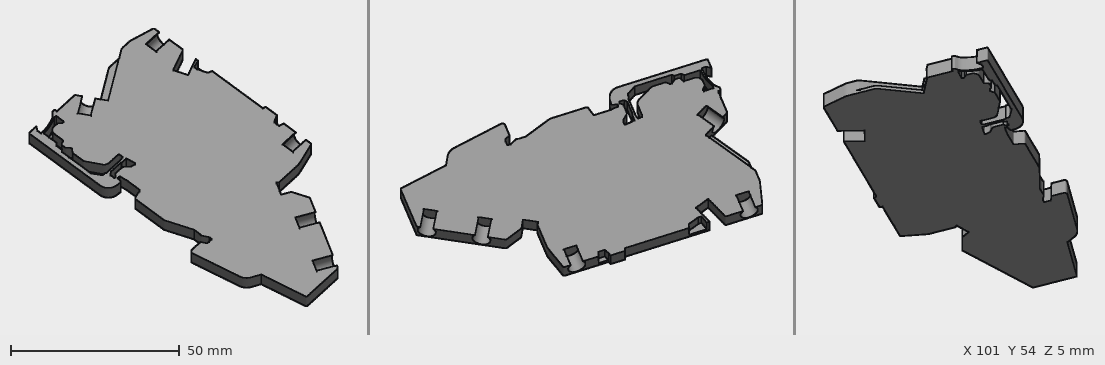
import cadquery as cq
import math

LENGTH = 101.0
HEIGHT = 54.0
THICKNESS = 5.0
CUT_MARGIN = 1.0
SMALL_RADIUS = 0.3

BLOCK_WIDTH = 67.2
TAB_HEIGHT = 0.9
TAB_LEFT = 45.7
TAB_RIGHT = 50.7
TAB_SIDE_LEAN = 0.2
SHOULDER_Y = 45.0
SHOULDER_ANGLE = 15.0
SHOULDER_RADIUS = 3.5
DECK_RADIUS = 0.5
DECK_Y = HEIGHT - TAB_HEIGHT
SHOULDER_INSET = (DECK_Y - SHOULDER_Y) * math.tan(math.radians(SHOULDER_ANGLE))

NOTCH_X = 13.8
NOTCH_WIDTH = 4.7
NOTCH_DEPTH = 8.0
NOTCH_ANGLE = 20.0

ENTRY_ANGLE = 30.0
STEP_X = 0.9
STEP_Y = 19.5
ENTRY_X = 7.2
ENTRY_RADIUS = 2.3
LEDGE_WIDTH = 2.8
WALL_RADIUS = 1.8
LEDGE_THICKNESS = 1.2
ENTRY_Y = STEP_Y + (ENTRY_X - STEP_X) * math.tan(math.radians(ENTRY_ANGLE))
LEDGE_TOP_Y = ENTRY_Y + ENTRY_X / math.tan(math.radians(ENTRY_ANGLE))

ROOF_ANGLE = 30.0
ROOF_X = 77.7
ROOF_Y = 38.3
ROOF_END_Y = ROOF_Y - (LENGTH - ROOF_X) * math.tan(math.radians(ROOF_ANGLE))

BELLY_Y = 3.3
RAIL_SEAT_Y = 6.7
FOOT_FLOOR_Y = 1.5
FOOT_STEP_Y = 2.1
FOOT_TOP_Y = 2.9
ARM_THICKNESS = 0.6
ARM_FOOT_X = 2.7
ARM_BEND_Y = 5.6
ARM_BEND_RADIUS = 13.1
STEM_LEFT = 26.8
STEM_THICKNESS = 0.7
STEM_RIGHT = STEM_LEFT + STEM_THICKNESS

SLOT_DIAMETER = 5.5
SLOT_FLOOR = 0.4
STRAIGHT_SLOT_DEPTH = 5.9
SLANTED_SLOT_DEPTH = 6.4
STRAIGHT_SLOT_INSET = 6.4
ENTRY_SLOT_X = 4.5
ROOF_SLOT_XS = (84.1, 98.4)

RECESS_FLOOR = LEDGE_THICKNESS


def direction(angle):
    """Unit vector in the plane of the plate, at an angle in degrees."""
    return cq.Vector(math.cos(math.radians(angle)), math.sin(math.radians(angle)))


def rounded_outline(corners):
    """Closed outline through corners (x, y) or (x, y, radius), with arcs at the rounded ones."""
    pieces = []
    for index, corner in enumerate(corners):
        point = cq.Vector(*corner[:2])
        if len(corner) == 2:
            pieces.append([point])
            continue
        following = corners[(index + 1) % len(corners)]
        back = (cq.Vector(*corners[index - 1][:2]) - point).normalized()
        ahead = (cq.Vector(*following[:2]) - point).normalized()
        half_angle = back.getAngle(ahead) / 2
        radius = corner[2]
        run = radius / math.tan(half_angle)
        to_middle = radius / math.sin(half_angle) - radius
        middle = point + (back + ahead).normalized() * to_middle
        pieces.append([point + back * run, middle, point + ahead * run])
    outline = cq.Workplane("XY").moveTo(*pieces[0][-1].toTuple()[:2])
    for piece in pieces[1:] + pieces[:1]:
        outline = outline.lineTo(*piece[0].toTuple()[:2])
        if len(piece) > 1:
            outline = outline.threePointArc(piece[1].toTuple()[:2], piece[2].toTuple()[:2])
    return outline.close()


def cutter(corners, floor=-CUT_MARGIN):
    """Prism that removes everything inside the corners above the floor height."""
    prism = rounded_outline(corners).extrude(THICKNESS + CUT_MARGIN - floor)
    return prism.translate((0, 0, floor))


def plate():
    """Full-thickness plate inside the outer contour, listed clockwise from the foot."""
    notch_down = direction(NOTCH_ANGLE - 90)
    notch_across = direction(NOTCH_ANGLE)
    notch_start = cq.Vector(NOTCH_X, DECK_Y)
    notch_low = notch_start + notch_down * NOTCH_DEPTH
    notch_high = notch_low + notch_across * NOTCH_WIDTH
    notch_end_x = NOTCH_X + NOTCH_WIDTH / math.cos(math.radians(NOTCH_ANGLE))
    clip = [
        (0, 0, SMALL_RADIUS),
        (0, 3.4),
        (1.3, 2.4),
        (ARM_FOOT_X, 2.4),
        (ARM_FOOT_X, ARM_BEND_Y, ARM_BEND_RADIUS),
        (1.3, 9.3, 3),
        (0, 10.5, SMALL_RADIUS),
        (0, 11.5, SMALL_RADIUS),
        (STEP_X, 11.5),
    ]
    block = [
        (STEP_X, STEP_Y, 0.4),
        (ENTRY_X, ENTRY_Y),
        (0, LEDGE_TOP_Y, ENTRY_RADIUS),
        (0, SHOULDER_Y, SHOULDER_RADIUS),
        (SHOULDER_INSET, DECK_Y, DECK_RADIUS),
        (NOTCH_X, DECK_Y, SMALL_RADIUS),
        (notch_low.x, notch_low.y),
        (notch_high.x, notch_high.y),
        (notch_end_x, DECK_Y),
        (TAB_LEFT, DECK_Y),
        (TAB_LEFT + TAB_SIDE_LEAN, HEIGHT),
        (TAB_RIGHT - TAB_SIDE_LEAN, HEIGHT),
        (TAB_RIGHT, DECK_Y),
        (BLOCK_WIDTH - SHOULDER_INSET, DECK_Y, DECK_RADIUS),
        (BLOCK_WIDTH, SHOULDER_Y, SHOULDER_RADIUS),
    ]
    right_arm = [
        (BLOCK_WIDTH, 36.4),
        (66.6, 35.8),
        (70.6, 33.4),
        (72.1, 36.2, 0.5),
        (ROOF_X, ROOF_Y, 0.5),
        (LENGTH, ROOF_END_Y, 0.6),
        (LENGTH, 10.8, SMALL_RADIUS),
        (85.5, 7.9),
        (83.1, 3.4, 4),
        (65.3, 0),
        (64.2, 0, 0.8),
        (64.2, 4.6),
        (66.1, 5.6, 0.2),
        (66.1, 7.7, 0.2),
        (65.0, 7.7),
        (62.8, 6.5, 0.8),
        (62.1, RAIL_SEAT_Y),
    ]
    lower_edge = [
        (59.9, RAIL_SEAT_Y),
        (51.0, BELLY_Y, 1),
        (39.2, BELLY_Y, 0.6),
        (38.4, RAIL_SEAT_Y, 0.2),
        (33.1, RAIL_SEAT_Y, 5),
        (30.5, 6.4),
        (30.5, 5.6),
        (32.2, 5.2, 0.2),
        (31.8, 0, 3.7),
    ]
    return rounded_outline(clip + block + right_arm + lower_edge).extrude(THICKNESS)


def rail_cavity():
    """Through opening between the body and the clip foot, from the spring arm to the stem."""
    arm_inside = ARM_FOOT_X + ARM_THICKNESS
    body_side = [
        (1.8, 10.1),
        (4.9, 10.1),
        (4.9, 9.4),
        (3.9, 8.4),
        (3.9, 4.8, 2),
        (9.4, 4.8),
        (10.0, BELLY_Y, 0.8),
        (11.7, BELLY_Y, 0.5),
        (13.1, 4.5, 0.5),
        (14.5, BELLY_Y),
        (18.9, BELLY_Y, 1),
        (24.9, 6.8, 2),
        (24.9, 12.2, 0.4),
    ]
    foot_side = [
        (26.5, 12.2),
        (STEM_LEFT, 11.2),
        (STEM_LEFT, 4.6),
        (26.5, 4.4),
        (26.5, BELLY_Y, SMALL_RADIUS),
        (23.5, FOOT_FLOOR_Y),
        (11.8, FOOT_FLOOR_Y),
        (11.3, FOOT_STEP_Y),
        (9.1, FOOT_STEP_Y),
        (8.5, FOOT_TOP_Y),
        (arm_inside, FOOT_TOP_Y),
        (arm_inside, ARM_BEND_Y, ARM_BEND_RADIUS),
        (1.8, 9.4),
    ]
    return cutter(body_side + foot_side)


def stem_cavity():
    """Through opening between the stem and the body, closed below by the hook of the foot."""
    return cutter([
        (27.7, 12.5),
        (31.1, 13.0, SMALL_RADIUS),
        (30.7, 11.2, 0.6),
        (28.9, 9.6, 1.5),
        (28.9, 6.3),
        (29.9, 5.4),
        (29.7, 4.8),
        (28.2, 4.8),
        (STEM_RIGHT, 5.8),
        (STEM_RIGHT, 10.5),
        (27.7, 10.5),
    ])


def entry_ledge():
    """Space above the thin ledge along the left entry."""
    slope = direction(ENTRY_ANGLE)
    rise = direction(ENTRY_ANGLE + 90)
    inner = cq.Vector(ENTRY_X, ENTRY_Y) + slope * LEDGE_WIDTH
    wall_run = inner.x / math.sin(math.radians(ENTRY_ANGLE))
    wall_top = inner + rise * wall_run
    return cutter([
        (ENTRY_X, ENTRY_Y),
        (inner.x, inner.y),
        (wall_top.x, wall_top.y, WALL_RADIUS),
        (0, wall_top.y + CUT_MARGIN),
        (-CUT_MARGIN, wall_top.y + CUT_MARGIN),
        (-CUT_MARGIN, ENTRY_Y),
    ], LEDGE_THICKNESS)


def edge_recesses():
    """Shallow recesses in the upper edge, beside the notch and beside the tab."""
    beside_notch = [
        (19.8, DECK_Y),
        (20.5, 50.6),
        (21.5, 50.6),
        (24.9, 51.8, SMALL_RADIUS),
        (25.4, DECK_Y),
    ]
    beside_tab = [
        (50.8, DECK_Y),
        (51.4, 51.6),
        (53.4, 51.6),
        (53.9, DECK_Y),
    ]
    return [cutter(corners, RECESS_FLOOR) for corners in (beside_notch, beside_tab)]


def wire_slot(mouth_x, mouth_y, edge_angle, depth):
    """Round bore that enters at right angles to a sloping edge and breaks the upper face."""
    radius = SLOT_DIAMETER / 2
    into = direction(edge_angle - 90)
    mouth = cq.Vector(mouth_x, mouth_y, SLOT_FLOOR + radius)
    bore = cq.Solid.makeCylinder(radius, depth + CUT_MARGIN, mouth - into * CUT_MARGIN, into)
    return cq.Workplane(bore)


def wire_slots():
    slots = [
        wire_slot(x, DECK_Y, 0, STRAIGHT_SLOT_DEPTH)
        for x in (STRAIGHT_SLOT_INSET, BLOCK_WIDTH - STRAIGHT_SLOT_INSET)
    ]
    entry_y = STEP_Y + (ENTRY_SLOT_X - STEP_X) * math.tan(math.radians(ENTRY_ANGLE))
    slots.append(wire_slot(ENTRY_SLOT_X, entry_y, ENTRY_ANGLE, SLANTED_SLOT_DEPTH))
    for x in ROOF_SLOT_XS:
        y = ROOF_Y - (x - ROOF_X) * math.tan(math.radians(ROOF_ANGLE))
        slots.append(wire_slot(x, y, -ROOF_ANGLE, SLANTED_SLOT_DEPTH))
    return slots


result = plate()
for cut in [rail_cavity(), stem_cavity(), entry_ledge()] + edge_recesses() + wire_slots():
    result = result.cut(cut)